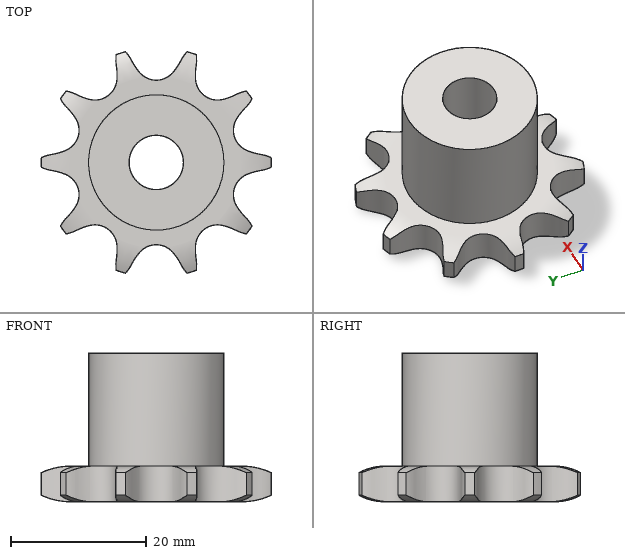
import cadquery as cq
import math


teeth = 10
pitch = 9.52
roller_diameter = 6.35
seat_clearance = 0.075

tip_diameter = 34.0
wheel_thickness = 5.3
rim_radius = 10.0
rim_drop = 1.0
hub_diameter = 20.0
total_height = 22.0
bore_diameter = 8.0

half_step = 180 / teeth
pitch_radius = pitch / 2 / math.sin(math.radians(half_step))
seat_radius = (1.005 * roller_diameter + seat_clearance) / 2
seat_angle = 55 - 60 / teeth
working_span = 18 - 56 / teeth
topping_span = 17 - 64 / teeth
working_angle = seat_angle + working_span
working_offset = 0.8 * roller_diameter
topping_offset = 1.4 * roller_diameter
working_radius = seat_radius + working_offset
flat_length = (topping_offset * math.sin(math.radians(topping_span))
               - working_offset * math.sin(math.radians(working_span)))
topping_radius = (topping_offset * math.cos(math.radians(topping_span))
                  + working_offset * math.cos(math.radians(working_span))
                  - working_radius)


def offset(origin, distance, angle):
    """Point at a distance from origin; angle turns from the wheel centre direction (-X) towards +Y."""
    turn = math.radians(angle)
    return (origin[0] - distance * math.cos(turn), origin[1] + distance * math.sin(turn))


def mirrored(point):
    """Same point on the other side of the gap's centre line."""
    return (point[0], -point[1])


def make_blank():
    """Wheel disc with both faces rounded down towards the tooth tips."""
    tip_radius = tip_diameter / 2
    rim_width = math.sqrt(rim_radius**2 - (rim_radius - rim_drop)**2)
    face_radius = tip_radius - rim_width
    half_turn = math.asin(rim_width / rim_radius) / 2
    mid_radius = face_radius + rim_radius * math.sin(half_turn)
    mid_drop = rim_radius * (1 - math.cos(half_turn))
    return (
        cq.Workplane("XZ")
        .lineTo(face_radius, 0)
        .threePointArc((mid_radius, mid_drop), (tip_radius, rim_drop))
        .lineTo(tip_radius, wheel_thickness - rim_drop)
        .threePointArc((mid_radius, wheel_thickness - mid_drop), (face_radius, wheel_thickness))
        .lineTo(0, wheel_thickness)
        .close()
        .revolve(360, (0, 0, 0), (0, 1, 0))
    )


def make_gap():
    """Cutter for the gap centred on +X; its flanks run out to where neighbouring flanks would meet."""
    roller_centre = (pitch_radius, 0)
    root = offset(roller_centre, seat_radius, 0)
    seat_end = offset(roller_centre, seat_radius, seat_angle)

    working_centre = offset(roller_centre, -working_offset, seat_angle)
    working_mid = offset(working_centre, working_radius, seat_angle + working_span / 2)
    working_end = offset(working_centre, working_radius, working_angle)

    flat_end = offset(working_end, flat_length, working_angle + 90)

    topping_centre = offset(flat_end, topping_radius, working_angle)
    step = math.radians(half_step)
    axis_distance = topping_centre[1] * math.cos(step) - topping_centre[0] * math.sin(step)
    point_angle = math.degrees(math.asin(axis_distance / topping_radius)) - half_step
    topping_mid = offset(topping_centre, -topping_radius, (working_angle + point_angle) / 2)
    tooth_point = offset(topping_centre, -topping_radius, point_angle)

    return (
        cq.Workplane("XY")
        .moveTo(*mirrored(seat_end))
        .threePointArc(root, seat_end)
        .threePointArc(working_mid, working_end)
        .lineTo(*flat_end)
        .threePointArc(topping_mid, tooth_point)
        .lineTo(*mirrored(tooth_point))
        .threePointArc(mirrored(topping_mid), mirrored(flat_end))
        .lineTo(*mirrored(working_end))
        .threePointArc(mirrored(working_mid), mirrored(seat_end))
        .close()
        .extrude(wheel_thickness)
    )


wheel = make_blank()
gap = make_gap()
for index in range(teeth):
    gap_angle = half_step * (2 * index + 1)
    wheel = wheel.cut(gap.rotate((0, 0, 0), (0, 0, 1), gap_angle))

hub = cq.Workplane("XY").circle(hub_diameter / 2).extrude(total_height)
bore = cq.Workplane("XY").circle(bore_diameter / 2).extrude(total_height)

result = wheel.union(hub).cut(bore)